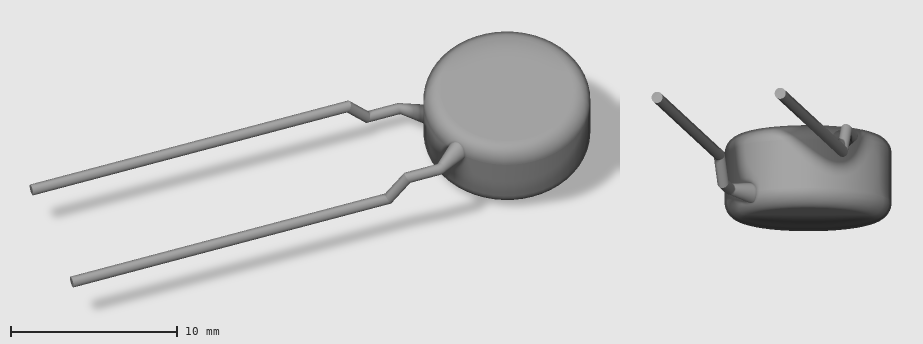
import cadquery as cq
import math

disc_diameter = 10.0
disc_height = 5.0
disc_edge_radius = 1.0

total_length = 33.8
wire_radius = 0.35
lead_spacing = 7.5
first_kink_y = -7.57
second_kink_y = -8.8

bend_radius = 0.5
bend_angle = 35.0
bend_end_y = -5.65
cone_length = 2.03
cone_base_radius = 0.68
upper_stub_length = 0.27

disc_radius = disc_diameter / 2
lead_x = lead_spacing / 2
lead_z = disc_height / 2 - disc_edge_radius
lead_end_y = disc_radius - total_length


def make_disc():
    """Cylinder with both rims rounded."""
    return (
        cq.Workplane("XY", origin=(0, 0, -disc_height / 2))
        .circle(disc_radius)
        .extrude(disc_height)
        .faces("|Z")
        .edges()
        .fillet(disc_edge_radius)
    )


def make_collar(disc, stub_length):
    """Cone, bend and optional straight stub on the +X, +Z side, seated on the disc surface."""
    angle = math.radians(bend_angle)
    outward = cq.Vector(math.sin(angle), -math.cos(angle), 0)
    tip = cq.Vector(
        lead_x - bend_radius * (1 - math.cos(angle)),
        bend_end_y + bend_radius * math.sin(angle),
        lead_z,
    )
    cone = cq.Workplane(
        cq.Solid.makeCone(cone_base_radius, wire_radius, cone_length, tip - outward * cone_length, outward)
    )
    bend_end = cq.Workplane("XZ", origin=(lead_x, bend_end_y, lead_z))
    bend = bend_end.circle(wire_radius).revolve(bend_angle, (-bend_radius, 0), (-bend_radius, 1))
    collar = cone.union(bend)
    if stub_length > 0:
        collar = collar.union(bend_end.circle(wire_radius).extrude(stub_length))
    return collar.cut(disc)


def make_lead(start_y):
    """Wire on the +X side, from the collar at +Z down to the mid plane and on to its free end."""
    path = cq.Workplane("YZ", origin=(lead_x, 0, 0)).polyline(
        [
            (start_y, lead_z),
            (first_kink_y, lead_z),
            (second_kink_y, 0),
            (lead_end_y, 0),
        ]
    )
    start = cq.Workplane("XZ", origin=(lead_x, start_y, lead_z))
    return start.circle(wire_radius).sweep(path, transition="right")


disc = make_disc()

collars = []
leads = []
for turn, stub_length in ((0, upper_stub_length), (180, 0)):
    collar = make_collar(disc, stub_length)
    lead = make_lead(bend_end_y - stub_length)
    collars.append(collar.rotate((0, 0, 0), (0, 1, 0), turn).val())
    leads.append(lead.rotate((0, 0, 0), (0, 1, 0), turn).val())

result = cq.Compound.makeCompound([disc.val(), *collars, *leads])